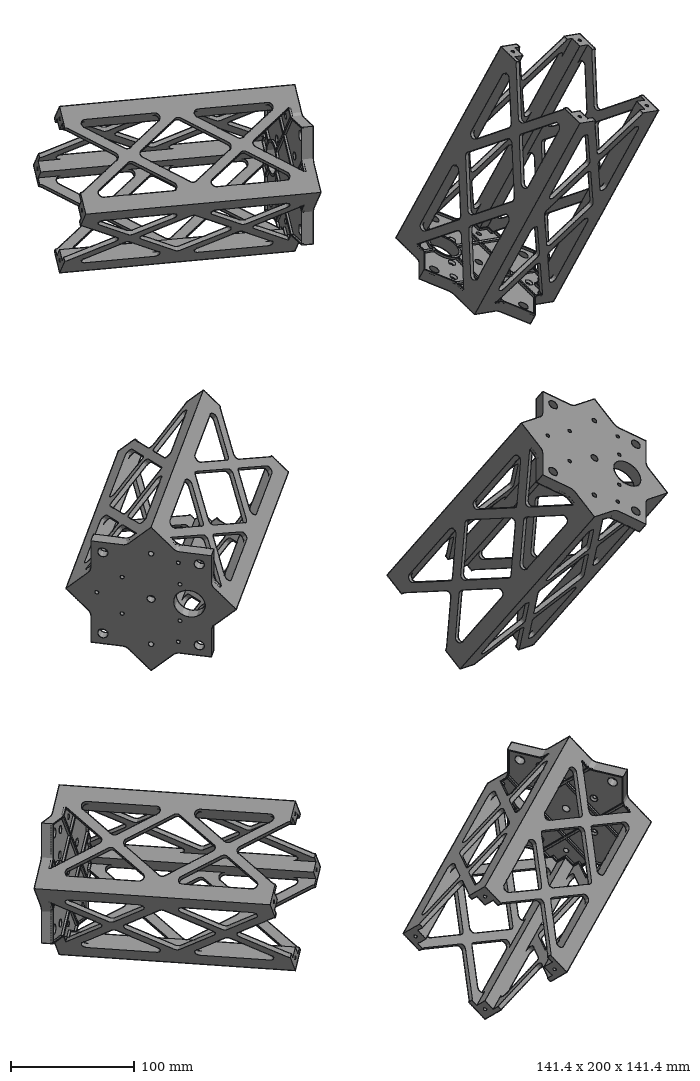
import cadquery as cq
import math

length = 200.0
side = 100.0
half = side / 2
tip_radius = half * math.sqrt(2)
wall = 4.0
column = 14.0

square_turn = 45
base_thickness = 10.0
base_front = length - base_thickness
base_fillet = 8.0
recess_depth = 2.0
floor = base_front + recess_depth
rim = 1.0

rib_width = 2.0
rib_offset = 20.8
ring_diameter = 30.0

cable_hole = 26.0
cable_hole_x = -31.8
centre_hole = 6.5
mount_hole = 8.5
mount_offset = 40.0
screw_hole = 3.2
screw_head = 6.5
screw_x = 24.0
screw_z = 18.0
screw_circle_radius = 45.0
screw_circle_angles = (0, 120, 240)
plain_hole = 4.5
plain_hole_z = 44.5
column_hole = 2.8
column_hole_radius = 60.0
column_hole_depth = 20.0

bay = 96.0
bay_count = 2
brace_width = 8.0
brace_slope = (bay / 2) / (half - column)
brace_half_span = brace_width / 2 * math.hypot(1, brace_slope) / brace_slope
window_radius = 4.0
diamond_half_height = bay / 2 - brace_half_span * brace_slope
diamond_half_width = diamond_half_height / brace_slope


def prism(width, height, y_start, y_end):
    """Rectangular block around the Y axis between two Y positions."""
    return (cq.Workplane("XZ", origin=(0, y_start, 0))
            .rect(width, height).extrude(y_start - y_end))


def rods(points, diameter, y_start, y_end):
    """Round bars along Y at the given (X, Z) points."""
    return (cq.Workplane("XZ", origin=(0, y_start, 0))
            .pushPoints(points).circle(diameter / 2).extrude(y_start - y_end))


def recess_block(x_start, x_end, z_start, z_end):
    """Block as deep as the base recess, given by its X and Z limits."""
    return (cq.Workplane("XY")
            .box(x_end - x_start, recess_depth, z_end - z_start, centered=False)
            .translate((x_start, base_front, z_start)))


def turned(shape, angle):
    """Rotate a shape about the part's Y axis."""
    return shape.rotate((0, 0, 0), (0, 1, 0), angle)


def polar(radius, degrees):
    """(X, Z) point at a radius and angle about the Y axis."""
    angle = math.radians(degrees)
    return radius * math.cos(angle), radius * math.sin(angle)


def four_corners(x, z):
    """(X, Z) points mirrored into the four quadrants."""
    return [(sign_x * x, sign_z * z) for sign_x in (-1, 1) for sign_z in (-1, 1)]


def window(points):
    """Round-cornered cutter through the +Z wall, before the tube is turned."""
    return (cq.Workplane("XY", origin=(0, 0, half - wall))
            .polyline(points).close().extrude(wall)
            .edges("|Z").fillet(window_radius))


def wall_windows():
    """All windows of one wall: diamonds between the braces, triangles beside them."""
    edge = half - column
    rise = (edge - brace_half_span) * brace_slope
    cutters = cq.Workplane("XY")
    for i in range(bay_count + 1):
        y = i * bay
        cutters = cutters.add(window([
            (-diamond_half_width, y),
            (0, y + diamond_half_height),
            (diamond_half_width, y),
            (0, y - diamond_half_height),
        ]))
    for i in range(bay_count):
        y = (i + 0.5) * bay
        for sign in (-1, 1):
            cutters = cutters.add(window([
                (sign * brace_half_span, y),
                (sign * edge, y + rise),
                (sign * edge, y - rise),
            ]))
    return cutters.combine().intersect(prism(side, side, -bay, base_front))


def make_tube():
    """Thin-walled square tube with a solid column inside each corner."""
    tube = prism(side, side, 0, length)
    tube = tube.cut(prism(side - 2 * wall, side - 2 * column, 0, length))
    tube = tube.cut(prism(side - 2 * column, side - 2 * wall, 0, length))
    windows = wall_windows()
    for quarter in range(4):
        tube = tube.cut(turned(windows, 90 * quarter))
    return turned(tube, square_turn)


class InnerCorners(cq.Selector):
    """Edges along Y where the outlines of the two squares cross."""

    def filter(self, objectList):
        crossing_radius = math.hypot(half, tip_radius - half)
        return [edge for edge in objectList
                if abs(math.hypot(edge.Center().x, edge.Center().z) - crossing_radius) < rim]


def make_base():
    """Eight-pointed plate with rounded inside corners."""
    square = prism(side, side, base_front, length)
    star = square.union(turned(square, square_turn))
    return star.edges("|Y").edges(InnerCorners()).fillet(base_fillet)


def make_recess(base):
    """Pocket in the front of the base, inside a thin rim, around the standing bars."""
    pocket = (base.faces("<Y").wires().toPending().workplane()
              .offset2D(-rim).extrude(-recess_depth, combine=False))
    column_edge = half - column - rim
    wall_edge = half - wall - rim
    wall_end = (base_front - bay * bay_count + diamond_half_height) / brace_slope
    rib = recess_block(-half, half, rib_offset - rib_width / 2, rib_offset + rib_width / 2)
    foot = recess_block(column_edge, half, column_edge, half)
    foot = foot.union(recess_block(wall_end, half, wall_edge, half))
    foot = foot.union(recess_block(wall_edge, half, wall_end, half))
    for quarter in range(4):
        pocket = pocket.cut(turned(rib.union(foot), square_turn + 90 * quarter))
    return pocket.cut(rods([(cable_hole_x, 0)], ring_diameter, base_front, floor))


def drill_screw_holes(body):
    """Countersunk holes sunk from the recess floor at 45 degrees."""
    points = four_corners(screw_x, screw_z)
    points += [polar(screw_circle_radius, angle) for angle in screw_circle_angles]
    body = body.cut(rods(points, screw_hole, floor, length))
    sink_depth = (screw_head - screw_hole) / 2
    for x, z in points:
        sink = cq.Solid.makeCone(screw_head / 2, screw_hole / 2, sink_depth,
                                 pnt=cq.Vector(x, floor, z), dir=cq.Vector(0, 1, 0))
        body = body.cut(cq.Workplane(obj=sink))
    return body


base = make_base()
body = base.union(make_tube()).cut(make_recess(base))

body = body.cut(rods([(cable_hole_x, 0)], cable_hole, base_front, length))
body = body.cut(rods([(0, 0)], centre_hole, base_front, length))
body = body.cut(rods(four_corners(mount_offset, mount_offset), mount_hole, base_front, length))
body = body.cut(rods([(0, plain_hole_z), (0, -plain_hole_z)], plain_hole, base_front, length))
body = drill_screw_holes(body)

column_points = [polar(column_hole_radius, 90 * quarter) for quarter in range(4)]
body = body.cut(rods(column_points, column_hole, 0, column_hole_depth))

result = body